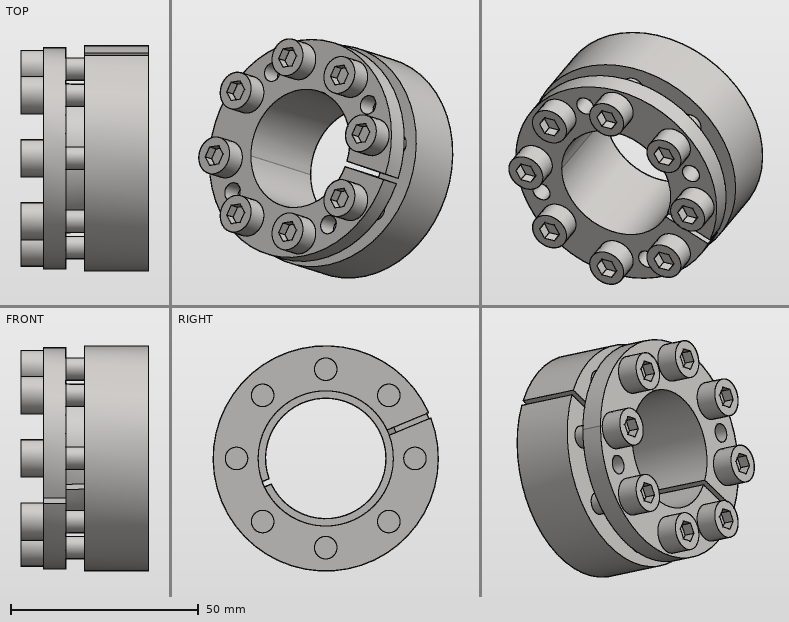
import cadquery as cq
import math


bore_radius = 16.0
taper_angle = 5.0
slit_width = 1.5
inner_slit_angle = 202.5
outer_slit_angle = inner_slit_angle - 180.0

flange_radius = 29.5
flange_thickness = 6.0

outer_radius = 30.0
outer_length = 17.1
gap = 4.9
cone_radius_at_outer_face = 19.5

screw_count = 8
bolt_circle_radius = 23.75
screw_diameter = 6.0
head_diameter = 10.0
head_height = 6.0
socket_across_flats = 5.0
socket_depth = 3.0

jacking_hole_count = 4
jacking_hole_diameter = 5.0
jacking_start_angle = 67.5

outer_face_x = flange_thickness + gap
end_x = outer_face_x + outer_length


def cone_radius(x):
    """Radius of the shared cone, which narrows towards +X."""
    return cone_radius_at_outer_face - (x - outer_face_x) * math.tan(math.radians(taper_angle))


def circle_points(count, start_angle=0.0):
    """Evenly spaced (Y, Z) points on the bolt circle."""
    angles = [math.radians(start_angle + i * 360.0 / count) for i in range(count)]
    return [(bolt_circle_radius * math.cos(a), bolt_circle_radius * math.sin(a)) for a in angles]


def cylinders(points, diameter, start_x, length):
    """Cylinders along +X at the given (Y, Z) points."""
    return cq.Workplane("YZ", origin=(start_x, 0, 0)).pushPoints(points).circle(diameter / 2).extrude(length)


def revolved(profile):
    """Ring turned about the X axis from (X, radius) points."""
    return cq.Workplane("XY").polyline(profile).close().revolve(360, (0, 0, 0), (1, 0, 0))


def radial_slit(angle):
    """Slab from the axis outwards that splits a ring on one side over its full length."""
    slab = cq.Workplane("XY").box(end_x, outer_radius * 2, slit_width, centered=(False, False, True))
    return slab.rotate((0, 0, 0), (1, 0, 0), angle)


screw_points = circle_points(screw_count)
screw_holes = cylinders(screw_points, screw_diameter, 0, end_x)


def make_inner_ring():
    """Split flange with a tapered sleeve."""
    ring = revolved([
        (0, bore_radius),
        (0, flange_radius),
        (flange_thickness, flange_radius),
        (flange_thickness, cone_radius(flange_thickness)),
        (end_x, cone_radius(end_x)),
        (end_x, bore_radius),
    ])
    jacking_points = circle_points(jacking_hole_count, jacking_start_angle)
    jacking_holes = cylinders(jacking_points, jacking_hole_diameter, 0, flange_thickness)
    return ring.cut(screw_holes).cut(jacking_holes).cut(radial_slit(inner_slit_angle))


def make_outer_ring():
    """Split ring with a tapered bore that fits the sleeve."""
    ring = revolved([
        (outer_face_x, cone_radius(outer_face_x)),
        (outer_face_x, outer_radius),
        (end_x, outer_radius),
        (end_x, cone_radius(end_x)),
    ])
    return ring.cut(screw_holes).cut(radial_slit(outer_slit_angle))


def make_screw(point):
    """Socket head screw that ends flush with the outer ring."""
    head = cylinders([point], head_diameter, -head_height, head_height)
    shank = cylinders([point], screw_diameter, 0, end_x)
    socket_across_corners = socket_across_flats / math.cos(math.radians(30))
    socket = (
        cq.Workplane("YZ", origin=(-head_height, 0, 0))
        .pushPoints([point])
        .polygon(6, socket_across_corners)
        .extrude(socket_depth)
    )
    return head.union(shank).cut(socket)


inner_ring = make_inner_ring()
outer_ring = make_outer_ring()
screws = [make_screw(point) for point in screw_points]

result = cq.Compound.makeCompound([
    inner_ring.val(),
    outer_ring.val(),
    *[screw.val() for screw in screws],
])